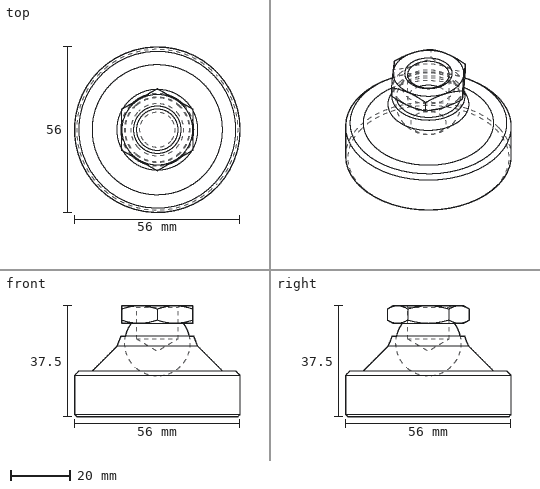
import cadquery as cq
import math

BASE_RADIUS = 28.0
BASE_HEIGHT = 15.5
BASE_TOP_CHAMFER = 1.5
BASE_BOTTOM_CHAMFER = 0.8

CONE_RADIUS = 22.0
COLLAR_RADIUS = 13.65
COLLAR_TOP_RADIUS = 12.3
COLLAR_BOTTOM_Z = 23.85
COLLAR_TOP_Z = 27.2

BALL_RADIUS = 11.1
BALL_CENTER_Z = 24.85

TOTAL_HEIGHT = 37.5
HEX_HEIGHT = 6.0
HEX_FLATS = 24.0
HEX_CHAMFER_RADIUS = 11.9
HEX_CHAMFER_ANGLE = 30.0
HEX_BOTTOM_Z = TOTAL_HEIGHT - HEX_HEIGHT
HEX_HALF_SECTOR = 30.0
HEX_CORNER_RADIUS = HEX_FLATS / 2 / math.cos(math.radians(HEX_HALF_SECTOR))

HOLE_RADIUS = 7.0
HOLE_DEPTH = 11.2
HOLE_TIP_ANGLE = 118.0
COUNTERSINK_RADIUS = 8.0
COUNTERSINK_DEPTH = 0.55


def revolve_profile(points):
    """Turn a closed (radius, z) outline about the Z axis."""
    return cq.Workplane("XZ").polyline(points).close().revolve(360, (0, 0, 0), (0, 1, 0))


def make_ball():
    return cq.Workplane("XY").sphere(BALL_RADIUS).translate((0, 0, BALL_CENTER_Z))


def make_base():
    """Chamfered disc with a shallow dimple that clears the bottom of the ball."""
    disc = cq.Workplane("XY").circle(BASE_RADIUS).extrude(BASE_HEIGHT)
    disc = disc.faces(">Z").edges().chamfer(BASE_TOP_CHAMFER)
    disc = disc.faces("<Z").edges().chamfer(BASE_BOTTOM_CHAMFER)
    return disc.cut(make_ball())


def make_housing():
    """Cone and steeper collar with a spherical socket through them."""
    cone = revolve_profile([
        (0, BASE_HEIGHT),
        (CONE_RADIUS, BASE_HEIGHT),
        (COLLAR_RADIUS, COLLAR_BOTTOM_Z),
        (COLLAR_TOP_RADIUS, COLLAR_TOP_Z),
        (0, COLLAR_TOP_Z),
    ])
    return cone.cut(make_ball())


def make_hex_head():
    """Hexagon with flats facing +X and -X and conically chamfered corners."""
    hexagon = (
        cq.Workplane("XY", origin=(0, 0, HEX_BOTTOM_Z))
        .polygon(6, 2 * HEX_CORNER_RADIUS)
        .extrude(HEX_HEIGHT)
        .rotate((0, 0, 0), (0, 0, 1), HEX_HALF_SECTOR)
    )
    chamfer_run = HEX_CORNER_RADIUS - HEX_CHAMFER_RADIUS
    chamfer_drop = chamfer_run * math.tan(math.radians(HEX_CHAMFER_ANGLE))
    envelope = revolve_profile([
        (0, HEX_BOTTOM_Z),
        (HEX_CHAMFER_RADIUS, HEX_BOTTOM_Z),
        (HEX_CORNER_RADIUS, HEX_BOTTOM_Z + chamfer_drop),
        (HEX_CORNER_RADIUS, TOTAL_HEIGHT - chamfer_drop),
        (HEX_CHAMFER_RADIUS, TOTAL_HEIGHT),
        (0, TOTAL_HEIGHT),
    ])
    return hexagon.intersect(envelope)


def make_hole():
    """Cutter for the countersunk blind hole with a drill-point bottom."""
    hole_bottom_z = TOTAL_HEIGHT - HOLE_DEPTH
    tip_depth = HOLE_RADIUS / math.tan(math.radians(HOLE_TIP_ANGLE / 2))
    return revolve_profile([
        (0, TOTAL_HEIGHT),
        (COUNTERSINK_RADIUS, TOTAL_HEIGHT),
        (HOLE_RADIUS, TOTAL_HEIGHT - COUNTERSINK_DEPTH),
        (HOLE_RADIUS, hole_bottom_z),
        (0, hole_bottom_z - tip_depth),
    ])


def make_ball_nut():
    """Ball and hexagonal head as one piece, bored from the top."""
    return make_ball().union(make_hex_head()).cut(make_hole())


base = make_base()
housing = make_housing()
ball_nut = make_ball_nut()

bodies = [base, housing, ball_nut]
result = cq.Compound.makeCompound([body.solids().val() for body in bodies])